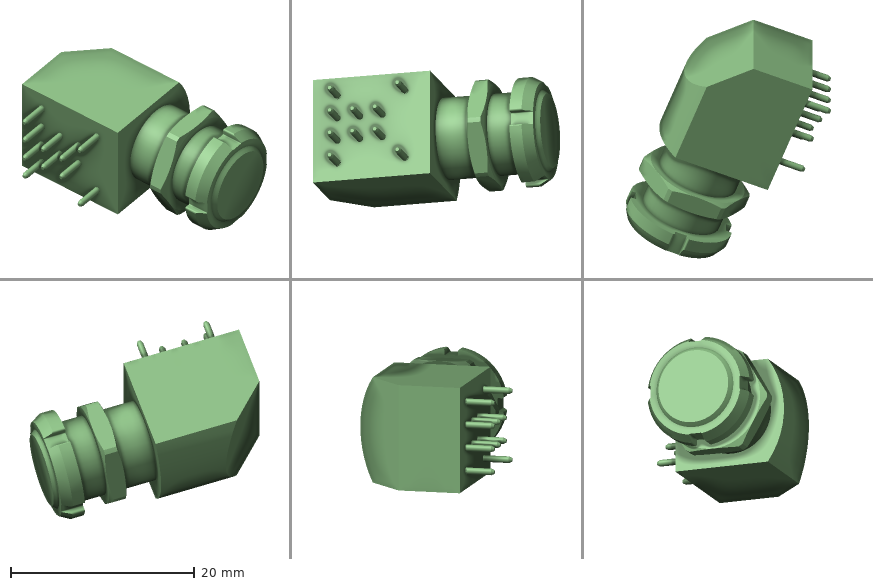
import cadquery as cq
import math


HOUSING_LENGTH = 13.28
HOUSING_HEIGHT = 11.68
BOARD_FACE_Y = -6.7
CROWN_Y = 6.02
DOME_EDGE_Y = 4.12
REAR_BEVEL = 5.82

TOTAL_LENGTH = 25.0
BARREL_RADIUS = 4.5
BARREL_TIP_RADIUS = 4.08
RING_FRONT_X = 24.52

PIN_DIAMETER = 0.72
PIN_RADIUS = PIN_DIAMETER / 2
PIN_TIP_RADIUS = 0.2
PIN_TIP_LENGTH = 0.32
PIN_LENGTH = 3.2
PIN_PITCH = 2.55
FIRST_PIN_X = 2.78
INNER_PIN_COLUMNS = (0, 1, 2)
CORNER_PIN_COLUMNS = (0, 3)
INNER_PIN_Z = PIN_PITCH / 2
CORNER_PIN_Z = INNER_PIN_Z + PIN_PITCH
COLLAR_RADIUS = 0.4
COLLAR_LENGTH = 0.1

HEX_START_X = 17.1
HEX_SIDES = 6
HEX_WIDTH = 2.0
HEX_ACROSS_FLATS = 11.0
HEX_CORNER_RADIUS = 6.2
HEX_FACE_RADIUS = 5.5
HEX_CHAMFER_LENGTH = 0.28

RING_START_X = 22.02
RING_RADIUS = 6.0
RING_CONE_X = 23.4
RING_FRONT_RADIUS = 5.35
SLOT_COUNT = 4
SLOT_WIDTH = 1.5
SLOT_FLOOR_RADIUS = 5.22
SLOT_FLOOR_FILLET = 0.1
SLOT_RIM_ROUND = 0.2


def revolve_about_x(points):
    """Turn an outline of (x, radius) points about the barrel axis."""
    return cq.Workplane("XY").polyline(points).close().revolve(360, (0, 0, 0), (1, 0, 0))


def make_housing_block():
    half_height = HOUSING_HEIGHT / 2
    section = (
        cq.Workplane("YZ")
        .moveTo(BOARD_FACE_Y, -half_height)
        .lineTo(DOME_EDGE_Y, -half_height)
        .threePointArc((CROWN_Y, 0), (DOME_EDGE_Y, half_height))
        .lineTo(BOARD_FACE_Y, half_height)
        .close()
        .extrude(HOUSING_LENGTH)
    )
    bevel = (
        cq.Workplane("XY")
        .polyline([(0, CROWN_Y - REAR_BEVEL), (REAR_BEVEL, CROWN_Y), (0, CROWN_Y)])
        .close()
        .extrude(half_height, both=True)
    )
    return section.cut(bevel)


def make_barrel():
    return revolve_about_x([
        (HOUSING_LENGTH, 0),
        (HOUSING_LENGTH, BARREL_RADIUS),
        (RING_FRONT_X, BARREL_RADIUS),
        (TOTAL_LENGTH, BARREL_TIP_RADIUS),
        (TOTAL_LENGTH, 0),
    ])


def make_pin(x, z, has_collar):
    """Pin with a tapered tip that stands out of the board face, with or without a base collar."""
    end_y = BOARD_FACE_Y - PIN_LENGTH
    outline = [
        (0, end_y),
        (PIN_TIP_RADIUS, end_y),
        (PIN_RADIUS, end_y + PIN_TIP_LENGTH),
    ]
    if has_collar:
        collar_y = BOARD_FACE_Y - COLLAR_LENGTH
        outline += [
            (PIN_RADIUS, collar_y),
            (COLLAR_RADIUS, collar_y),
            (COLLAR_RADIUS, BOARD_FACE_Y),
        ]
    else:
        outline.append((PIN_RADIUS, BOARD_FACE_Y))
    outline.append((0, BOARD_FACE_Y))
    pin = cq.Workplane("XY").polyline(outline).close().revolve(360, (0, 0, 0), (0, 1, 0))
    return pin.translate((x, 0, z))


def make_housing():
    """Housing block, barrel and pins as one body."""
    housing = make_housing_block().union(make_barrel())
    for side in (-1, 1):
        for column in CORNER_PIN_COLUMNS:
            x = FIRST_PIN_X + column * PIN_PITCH
            housing = housing.union(make_pin(x, side * CORNER_PIN_Z, True))
        for column in INNER_PIN_COLUMNS:
            x = FIRST_PIN_X + column * PIN_PITCH
            housing = housing.union(make_pin(x, side * INNER_PIN_Z, False))
    return housing


def make_hex_nut():
    """Hex nut with flats at the top and bottom, its corners trimmed and chamfered."""
    end_x = HEX_START_X + HEX_WIDTH
    across_corners = HEX_ACROSS_FLATS / math.cos(math.pi / HEX_SIDES)
    prism = (
        cq.Workplane("YZ", origin=(HEX_START_X, 0, 0))
        .polygon(HEX_SIDES, across_corners)
        .circle(BARREL_RADIUS)
        .extrude(HEX_WIDTH)
    )
    envelope = revolve_about_x([
        (HEX_START_X, 0),
        (HEX_START_X, HEX_FACE_RADIUS),
        (HEX_START_X + HEX_CHAMFER_LENGTH, HEX_CORNER_RADIUS),
        (end_x - HEX_CHAMFER_LENGTH, HEX_CORNER_RADIUS),
        (end_x, HEX_FACE_RADIUS),
        (end_x, 0),
    ])
    return prism.intersect(envelope)


def make_ring_blank():
    return revolve_about_x([
        (RING_START_X, BARREL_RADIUS),
        (RING_START_X, RING_RADIUS),
        (RING_CONE_X, RING_RADIUS),
        (RING_FRONT_X, RING_FRONT_RADIUS),
        (RING_FRONT_X, BARREL_RADIUS),
    ])


def make_slot():
    """Cutter for the top slot: filleted floor corners and rounded rims, straight along X."""
    half_width = SLOT_WIDTH / 2
    fillet_turn = SLOT_FLOOR_FILLET * (1 - math.sqrt(0.5))
    rim_turn = SLOT_RIM_ROUND * (1 - math.sqrt(0.5))
    rim_edge = half_width + SLOT_RIM_ROUND
    rim_z = math.sqrt(RING_RADIUS**2 - rim_edge**2)
    top_z = RING_RADIUS + SLOT_RIM_ROUND
    return (
        cq.Workplane("YZ", origin=(RING_START_X, 0, 0))
        .moveTo(0, SLOT_FLOOR_RADIUS)
        .lineTo(half_width - SLOT_FLOOR_FILLET, SLOT_FLOOR_RADIUS)
        .threePointArc(
            (half_width - fillet_turn, SLOT_FLOOR_RADIUS + fillet_turn),
            (half_width, SLOT_FLOOR_RADIUS + SLOT_FLOOR_FILLET),
        )
        .lineTo(half_width, rim_z - SLOT_RIM_ROUND)
        .threePointArc((half_width + rim_turn, rim_z - rim_turn), (rim_edge, rim_z))
        .lineTo(rim_edge, top_z)
        .lineTo(0, top_z)
        .mirrorY()
        .extrude(RING_FRONT_X - RING_START_X)
    )


def make_ring_nut():
    ring = make_ring_blank()
    slot = make_slot()
    for index in range(SLOT_COUNT):
        ring = ring.cut(slot.rotate((0, 0, 0), (1, 0, 0), index * 360 / SLOT_COUNT))
    return ring


housing = make_housing()
hex_nut = make_hex_nut()
ring_nut = make_ring_nut()

result = cq.Compound.makeCompound([housing.val(), hex_nut.val(), ring_nut.val()])